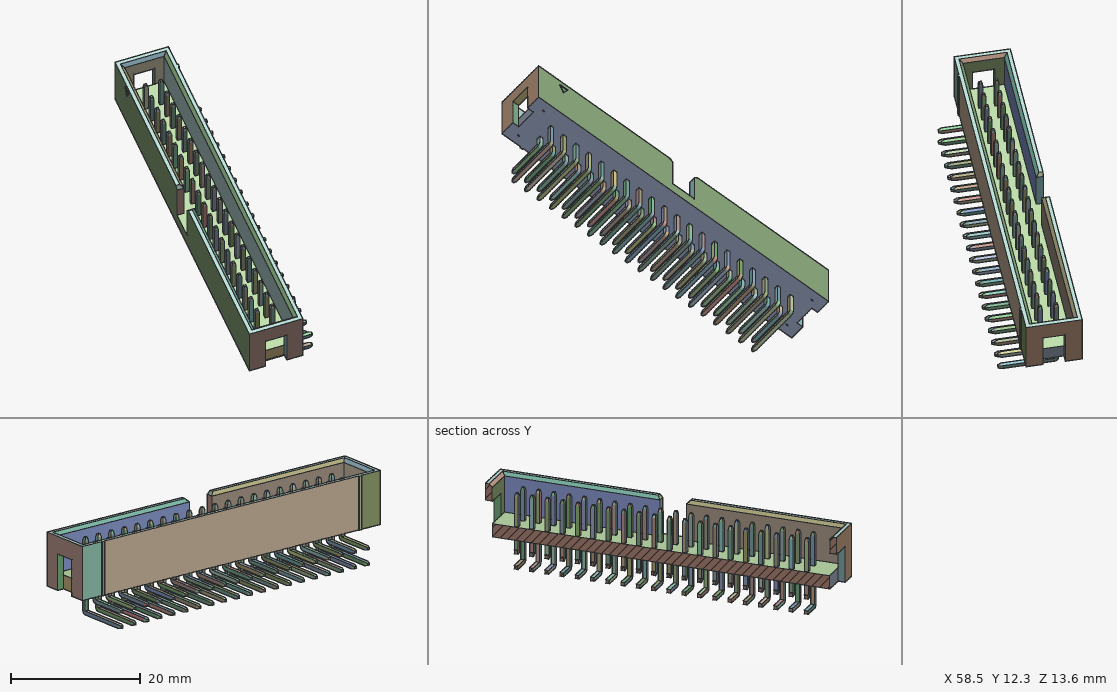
import cadquery as cq

PINS_PER_ROW = 20
ROW_SPAN = 48.3
PITCH = ROW_SPAN / (PINS_PER_ROW - 1)
PIN_WIDTH = 0.65
PIN_TIP_WIDTH = 0.35
PIN_TAPER = 0.5
PIN_TOP_DROP = 1.05
PIN_REACH = 3.45
PIN_DROP = 4.8
BEND_RADIUS = 0.65

LENGTH = 58.45
DEPTH = 8.8
HEIGHT = 8.8
WALL = 1.15
FLOOR = 2.3
RIM_CHAMFER = 0.5

KEY_WIDTH = 4.4
WINDOW_WIDTH = 3.5
WINDOW_HEIGHT = 5.95

MARK_WIDTH = 1.6
MARK_HEIGHT = 1.45
MARK_DROP = 1.05
MARK_DEPTH = 0.1

RIB_X = 25.2
RIB_WIDTH = 0.5
RIB_DEPTH = 0.2

FOOT_X = 27.05
FOOT_Y = 3.0
FOOT_LENGTH = 0.35
FOOT_THICKNESS = 0.05
FOOT_HEIGHT = 0.2

FRONT_ROW_LEG_Z = PIN_WIDTH / 2 - PIN_DROP
FIRST_PIN_X = -ROW_SPAN / 2
ROW_Y = PITCH / 2
FRONT_Y = -DEPTH / 2
BACK_Y = DEPTH / 2


def box(x_size, y_size, z_size, x=0.0, y=0.0, z=0.0):
    """Box centred on x and y, standing on z."""
    base = cq.Workplane("XY").box(x_size, y_size, z_size, centered=(True, True, False))
    return base.translate((x, y, z))


def make_shroud():
    cavity = box(LENGTH - 2 * WALL, DEPTH - 2 * WALL, HEIGHT - FLOOR, z=FLOOR)
    key_slot = box(KEY_WIDTH, WALL, HEIGHT - FLOOR, y=FRONT_Y + WALL / 2, z=FLOOR)
    body = box(LENGTH, DEPTH, HEIGHT).cut(cavity).cut(key_slot)

    flare = (
        cq.Workplane("XY", origin=(0, 0, HEIGHT - RIM_CHAMFER))
        .rect(LENGTH - 2 * WALL, DEPTH - 2 * WALL)
        .workplane(offset=RIM_CHAMFER)
        .rect(LENGTH - 2 * (WALL - RIM_CHAMFER), DEPTH - 2 * (WALL - RIM_CHAMFER))
        .loft(ruled=True)
    )
    key_flare = (
        cq.Workplane("XZ", origin=(0, FRONT_Y + WALL, 0))
        .polyline([
            (-KEY_WIDTH / 2, HEIGHT - RIM_CHAMFER),
            (KEY_WIDTH / 2, HEIGHT - RIM_CHAMFER),
            (KEY_WIDTH / 2 + RIM_CHAMFER, HEIGHT),
            (-KEY_WIDTH / 2 - RIM_CHAMFER, HEIGHT),
        ])
        .close()
        .extrude(WALL)
    )
    return body.cut(flare).cut(key_flare)


def end_windows():
    """Slots through both end walls, open at the bottom."""
    window_x = (LENGTH - WALL) / 2
    left = box(WALL, WINDOW_WIDTH, WINDOW_HEIGHT, x=-window_x)
    right = box(WALL, WINDOW_WIDTH, WINDOW_HEIGHT, x=window_x)
    return left.union(right)


def pin_one_mark():
    """Triangular recess in the front wall, pointing down at pin 1."""
    top = HEIGHT - MARK_DROP
    return (
        cq.Workplane("XZ", origin=(FIRST_PIN_X, FRONT_Y + MARK_DEPTH, 0))
        .polyline([(-MARK_WIDTH / 2, top), (MARK_WIDTH / 2, top), (0, top - MARK_HEIGHT)])
        .close()
        .extrude(MARK_DEPTH)
    )


def add_bumps(body):
    """Two ribs up the back wall and four small feet under the shroud."""
    for side in (-1, 1):
        rib = box(RIB_WIDTH, RIB_DEPTH, HEIGHT, x=side * RIB_X, y=BACK_Y + RIB_DEPTH / 2)
        body = body.union(rib)
        for y in (-FOOT_Y, FOOT_Y):
            foot = box(FOOT_LENGTH, FOOT_THICKNESS, FOOT_HEIGHT, x=side * FOOT_X, y=y, z=-FOOT_HEIGHT)
            body = body.union(foot)
    return body


def pin_taper(plane):
    """Pyramid-shaped pin end growing along the normal of the given plane."""
    return (
        cq.Workplane(plane)
        .rect(PIN_WIDTH, PIN_WIDTH)
        .workplane(offset=PIN_TAPER)
        .rect(PIN_TIP_WIDTH, PIN_TIP_WIDTH)
        .loft(ruled=True)
    )


def make_pin(row_y, leg_z):
    """Square pin at X = 0: upright post, bent backwards into a horizontal leg."""
    half = PIN_WIDTH / 2
    post_top = HEIGHT - PIN_TOP_DROP - PIN_TAPER
    leg_end = BACK_Y + PIN_REACH - PIN_TAPER
    bottom = leg_z - half

    post = box(PIN_WIDTH, PIN_WIDTH, post_top - bottom, y=row_y, z=bottom)
    leg_length = leg_end - (row_y - half)
    leg = box(PIN_WIDTH, leg_length, PIN_WIDTH, y=leg_end - leg_length / 2, z=bottom)
    outer_corner = cq.selectors.NearestToPointSelector((0, row_y - half, bottom))
    bent = post.union(leg).edges(outer_corner).fillet(BEND_RADIUS)

    post_tip = pin_taper(cq.Plane(origin=(0, row_y, post_top)))
    leg_tip = pin_taper(cq.Plane(origin=(0, leg_end, leg_z), xDir=(1, 0, 0), normal=(0, 1, 0)))
    return bent.union(post_tip).union(leg_tip)


def add_pins(body):
    front_pin = make_pin(-ROW_Y, FRONT_ROW_LEG_Z).val()
    back_pin = make_pin(ROW_Y, FRONT_ROW_LEG_Z + PITCH).val()
    pins = []
    for i in range(PINS_PER_ROW):
        shift = cq.Vector(FIRST_PIN_X + i * PITCH, 0, 0)
        pins += [front_pin.translate(shift), back_pin.translate(shift)]
    return cq.Workplane(body.val().fuse(*pins))


shroud = make_shroud().cut(end_windows()).cut(pin_one_mark())
result = add_pins(add_bumps(shroud))